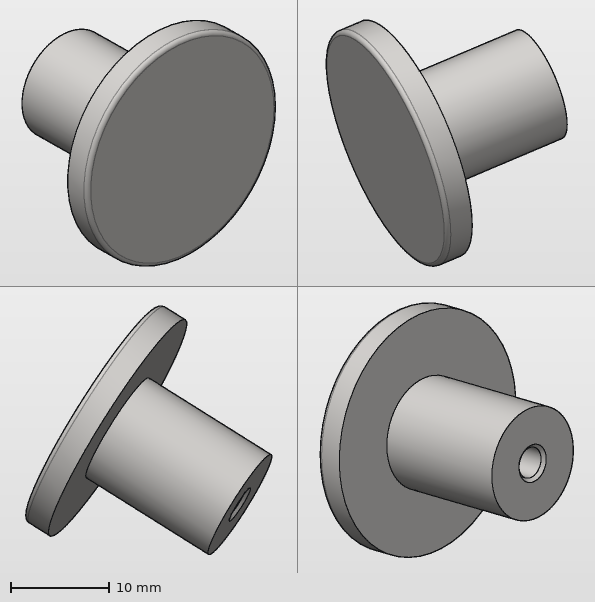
import cadquery as cq
import math

total_length = 17.8
flange_diameter = 26.0
flange_thickness = 3.0
flange_edge_radius = 0.5
shaft_diameter = 12.0

hole_diameter = 3.25
hole_depth = 10.0
drill_point_angle = 118.0
countersink_diameter = 4.0
countersink_angle = 90.0

shaft_length = total_length - flange_thickness
shaft_radius = shaft_diameter / 2
flange_radius = flange_diameter / 2
hole_radius = hole_diameter / 2
countersink_radius = countersink_diameter / 2


def cone_depth(radius_change, included_angle):
    """Axial length of a cone over the given change in radius."""
    return radius_change / math.tan(math.radians(included_angle / 2))


def turned_body():
    """Shaft and flange, with the flange's outer end face edge rounded."""
    shaft = cq.Workplane("YZ").circle(shaft_radius).extrude(shaft_length)
    flange = (
        cq.Workplane("YZ", origin=(shaft_length, 0, 0))
        .circle(flange_radius)
        .extrude(flange_thickness)
        .faces(">X")
        .edges()
        .fillet(flange_edge_radius)
    )
    return shaft.union(flange)


def drilled_hole():
    """Countersunk hole with a conical drill point, as a solid to remove."""
    countersink_depth = cone_depth(countersink_radius - hole_radius, countersink_angle)
    point_end = hole_depth + cone_depth(hole_radius, drill_point_angle)
    half_section = (
        cq.Workplane("XY")
        .moveTo(0, 0)
        .lineTo(0, countersink_radius)
        .lineTo(countersink_depth, hole_radius)
        .lineTo(hole_depth, hole_radius)
        .lineTo(point_end, 0)
        .close()
    )
    return half_section.revolve(360, (0, 0, 0), (1, 0, 0))


result = turned_body().cut(drilled_hole())